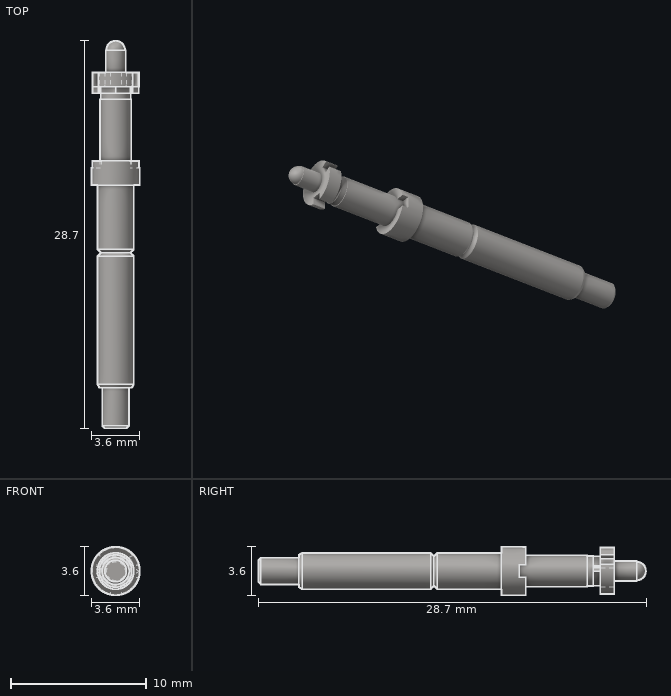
import cadquery as cq
import math

total_length = 28.7

tail_radius = 1.0
tail_length = 3.0
tail_chamfer = 0.2
body_radius = 1.35
body_lead_length = 0.25
body_lead_depth = 0.15
groove_center = 13.0
groove_depth = 0.25

collar_radius = 1.8
collar_back = 18.0
collar_length = 1.8
collar_front = collar_back + collar_length
notch_width = 0.95
notch_depth = 0.5
notch_floor = collar_front - notch_depth

shaft_radius = 1.175
neck_radius = 1.12
neck_start = 24.35
pin_radius = 0.75
dome_radius = 0.7
dome_center = total_length - dome_radius

wedge_start = 24.8
wedge_half_width = 1.72
wedge_half_height = 1.1
flange_radius = 1.75
flange_back = 25.3
flange_front = 26.35
slot_width = 0.8
slot_floor = 1.15
slot_angles = (30, 150, 270)


def revolve_about_y(half_profile):
    """Close a half profile drawn in the XY plane and revolve it about the Y axis."""
    return half_profile.close().revolve(360, (0, 0, 0), (0, 1, 0))


def cross_section(y):
    """Workplane normal to +Y at the given position, with local x, y along -X and +Z."""
    return cq.Workplane(cq.Plane(origin=(0, y, 0), xDir=(-1, 0, 0), normal=(0, 1, 0)))


def make_body():
    """Tail, grooved body and solid collar, with the notch cut straight across the collar."""
    body = revolve_about_y(
        cq.Workplane("XY")
        .moveTo(0, 0)
        .lineTo(tail_radius - tail_chamfer, 0)
        .lineTo(tail_radius, tail_chamfer)
        .lineTo(tail_radius, tail_length)
        .lineTo(body_radius - body_lead_depth, tail_length)
        .lineTo(body_radius, tail_length + body_lead_length)
        .lineTo(body_radius, groove_center - groove_depth)
        .lineTo(body_radius - groove_depth, groove_center)
        .lineTo(body_radius, groove_center + groove_depth)
        .lineTo(body_radius, collar_back)
        .lineTo(collar_radius, collar_back)
        .lineTo(collar_radius, collar_front)
        .lineTo(0, collar_front)
    )
    notch_length = 3 * collar_radius
    notch = cross_section(notch_floor).rect(notch_length, notch_width).extrude(2 * notch_depth)
    return body.cut(notch)


def make_plunger():
    """Shaft, neck and domed tip pin; the shaft starts at the notch floor and fills its middle."""
    arc_offset = dome_radius * math.sin(math.radians(45))
    return revolve_about_y(
        cq.Workplane("XY")
        .moveTo(0, notch_floor)
        .lineTo(shaft_radius, notch_floor)
        .lineTo(shaft_radius, neck_start)
        .lineTo(neck_radius, neck_start)
        .lineTo(neck_radius, wedge_start)
        .lineTo(pin_radius, wedge_start)
        .lineTo(pin_radius, dome_center)
        .lineTo(dome_radius, dome_center)
        .threePointArc((arc_offset, dome_center + arc_offset), (0, total_length))
    )


def make_slot(angle):
    """Radial cutter with a flat inner floor, turned from +X toward +Z by the given angle."""
    return (
        cq.Workplane("XY")
        .box(flange_radius, flange_front - wedge_start, slot_width, centered=(False, False, True))
        .translate((slot_floor, wedge_start, 0))
        .rotate((0, 0, 0), (0, 1, 0), -angle)
    )


def make_head():
    """Flange and the rhombic wedge behind it, cut by three flat-bottomed slots."""
    flange = cross_section(flange_back).circle(flange_radius).extrude(flange_front - flange_back)
    wedge = (
        cross_section(wedge_start)
        .polyline([
            (wedge_half_width, 0),
            (0, wedge_half_height),
            (-wedge_half_width, 0),
            (0, -wedge_half_height),
        ])
        .close()
        .extrude(flange_back - wedge_start)
    )
    head = flange.union(wedge)
    for angle in slot_angles:
        head = head.cut(make_slot(angle))
    return head


result = make_body().union(make_plunger()).union(make_head())